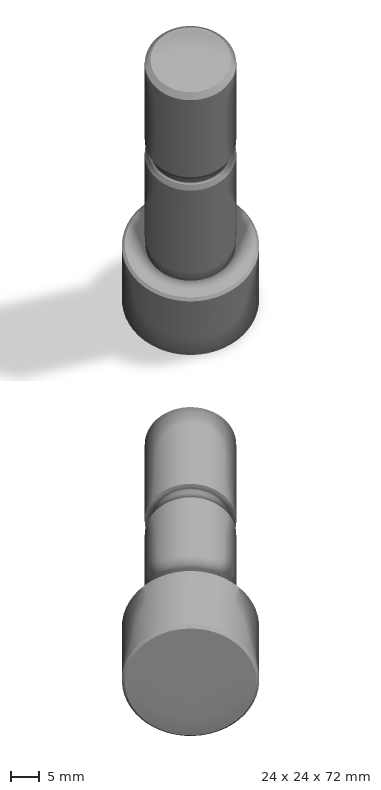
import cadquery as cq

total_length = 72.0
head_diameter = 24.0
head_height = 17.0
head_chamfer = 0.5

shank_diameter = 16.0
relief_diameter = 15.8
relief_height = 2.0
shank_top = 45.0

groove_diameter = 14.0
groove_width = 3.0
chamfer_height = 1.0
pin_chamfer_width = 1.0
shank_chamfer_width = 0.6
pin_bottom = shank_top + groove_width


def cylinder(diameter, bottom, top):
    """Cylinder on the Z axis between two heights."""
    return cq.Workplane("XY").workplane(offset=bottom).circle(diameter / 2).extrude(top - bottom)


def chamfered_cylinder(diameter, bottom, top, chamfer_width):
    """Cylinder whose upper rim has a chamfer of the common height and its own radial width."""
    radius = diameter / 2
    profile = (
        cq.Workplane("XZ")
        .moveTo(0, bottom)
        .lineTo(radius, bottom)
        .lineTo(radius, top - chamfer_height)
        .lineTo(radius - chamfer_width, top)
        .lineTo(0, top)
        .close()
    )
    return profile.revolve(360, (0, 0, 0), (0, 1, 0))


head = cylinder(head_diameter, 0, head_height).faces("<Z or >Z").edges().chamfer(head_chamfer)

relief_top = head_height + relief_height
relief = cylinder(relief_diameter, head_height, relief_top)
shank = chamfered_cylinder(shank_diameter, relief_top, shank_top, shank_chamfer_width)
groove = cylinder(groove_diameter, shank_top, pin_bottom)
pin = chamfered_cylinder(shank_diameter, pin_bottom, total_length, pin_chamfer_width)

result = head.union(relief).union(shank).union(groove).union(pin)